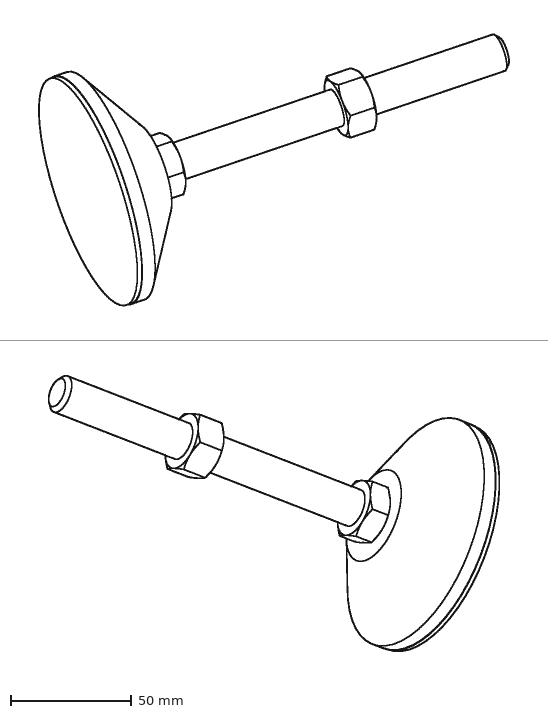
import cadquery as cq
import math

total_length = 189.0
base_diameter = 100.0
pad_diameter = 99.5
pad_height = 2.0
rim_height = 8.0
cone_top_height = 29.1
cone_top_diameter = 40.0

stud_diameter = 16.0
stud_end_chamfer = 1.9

nut_across_flats = 24.0
nut_across_corners = nut_across_flats / math.cos(math.radians(30))
nut_chamfer_angle = 30
fixed_nut_thickness = 10.0
lock_nut_thickness = 13.0
lock_nut_start = 113.0


def cylinder(diameter, start, length):
    """Round bar along +Y beginning at the given height."""
    plane = cq.Workplane("XZ", origin=(0, start, 0))
    return plane.circle(diameter / 2).extrude(-length)


def hex_nut(start, thickness):
    """Hexagon with corners on the Z axis and both faces chamfered conically."""
    hexagon = (
        cq.Workplane("XZ", origin=(0, start, 0))
        .transformed(rotate=(0, 0, 90))
        .polygon(6, nut_across_corners)
        .extrude(-thickness)
    )
    face_radius = nut_across_flats / 2
    corner_radius = nut_across_corners / 2
    drop = (corner_radius - face_radius) * math.tan(math.radians(nut_chamfer_angle))
    end = start + thickness
    chamfer_envelope = (
        cq.Workplane("XY")
        .moveTo(0, start)
        .lineTo(face_radius, start)
        .lineTo(corner_radius, start + drop)
        .lineTo(corner_radius, end - drop)
        .lineTo(face_radius, end)
        .lineTo(0, end)
        .close()
        .revolve(360, (0, 0, 0), (0, 1, 0))
    )
    return hexagon.intersect(chamfer_envelope)


def foot():
    """Slightly recessed flat pad below a cylindrical rim and a conical body."""
    pad = cylinder(pad_diameter, 0, pad_height)
    body = (
        cq.Workplane("XY")
        .moveTo(0, pad_height)
        .lineTo(base_diameter / 2, pad_height)
        .lineTo(base_diameter / 2, rim_height)
        .lineTo(cone_top_diameter / 2, cone_top_height)
        .lineTo(0, cone_top_height)
        .close()
        .revolve(360, (0, 0, 0), (0, 1, 0))
    )
    return pad.union(body)


stud = cylinder(stud_diameter, cone_top_height, total_length - cone_top_height)
stud = stud.faces(">Y").edges().chamfer(stud_end_chamfer)

fixed_nut = hex_nut(cone_top_height, fixed_nut_thickness)
lock_nut = hex_nut(lock_nut_start, lock_nut_thickness)

result = foot().union(stud).union(fixed_nut).union(lock_nut)